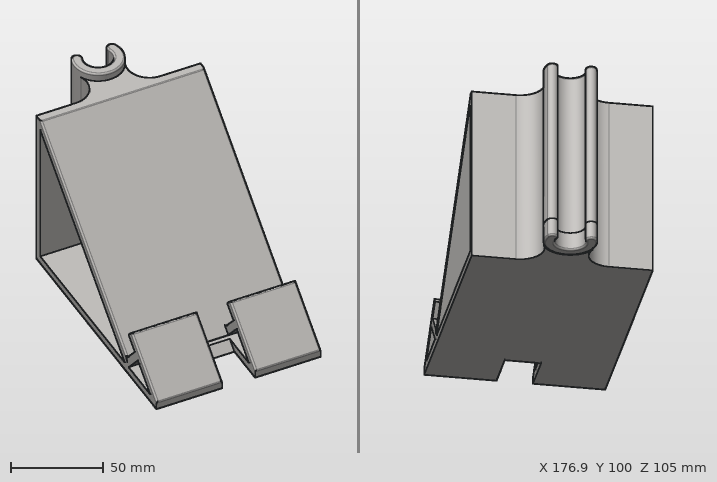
import cadquery as cq
import math

width = 100.0
frame_height = width
wall = 5.0
plate_x = 31.8
base_end_x = 176.9
ramp_foot_x = 152.0
ramp_angle = 41.0
edge_radius = 1.0

slot_width = 20.0
hook_length = 40.3
stem_toe_x = 143.3
root_fillet = 1.0

clip_height = 105.0
clip_outer_radius = 14.7
clip_inner_radius = 8.5
clip_sweep = 112.0
foot_height = 10.3
web_fillet_radius = 13.3

clip_mid_radius = (clip_outer_radius + clip_inner_radius) / 2
clip_tip_radius = (clip_outer_radius - clip_inner_radius) / 2
clip_x = clip_tip_radius - clip_mid_radius * math.cos(math.radians(clip_sweep))

cos_ramp = math.cos(math.radians(ramp_angle))
sin_ramp = math.sin(math.radians(ramp_angle))
tan_ramp = sin_ramp / cos_ramp
inner_foot_x = ramp_foot_x - wall / sin_ramp
plate_inner_x = plate_x + wall
slope_normal = cq.Vector(sin_ramp, 0, cos_ramp)


def along_slope(point, up=0.0, out=0.0):
    """Move an (x, z) point up the ramp direction and outwards along its normal."""
    x, z = point
    return (x - up * cos_ramp + out * sin_ramp, z + up * sin_ramp + out * cos_ramp)


def across_y(points, y_min, y_max):
    """Extrude an XZ outline from y_min to y_max."""
    profile = cq.Workplane("XZ", origin=(0, y_max, 0)).polyline(points).close()
    return profile.extrude(y_max - y_min)


def round_sloped_face(body):
    """Round the whole rim of the outward sloped face."""
    return body.faces(cq.selectors.DirectionNthSelector(slope_normal, -1)).edges().fillet(edge_radius)


base_corner = (base_end_x, wall)
hook_tip = along_slope(base_corner, up=hook_length)
hook_tip_inner = along_slope(hook_tip, out=-wall)
stem_toe = (stem_toe_x, wall)
toe_up = (base_end_x - stem_toe_x) * cos_ramp
stem_top = along_slope(base_corner, up=toe_up, out=-wall)
stem_inner_corner = along_slope(stem_top, up=wall)

root_height = (stem_top[0] - ramp_foot_x) * sin_ramp + stem_top[1] * cos_ramp
root = along_slope(stem_inner_corner, out=-root_height)
root_on_stem = along_slope(root, out=root_fillet)
root_on_ramp = along_slope(root, up=root_fillet)
root_inset = root_fillet * (1 - math.sqrt(0.5))
root_middle = along_slope(root, up=root_inset, out=root_inset)

opening_end = (base_end_x - wall / sin_ramp, wall)
stem_opening = [stem_toe, stem_top, opening_end]


def make_frame():
    """Hollow triangular tube of upright plate, base and ramp."""
    outer = [
        (plate_x, 0),
        (ramp_foot_x, 0),
        (ramp_foot_x - frame_height / tan_ramp, frame_height),
        (plate_x, frame_height),
    ]
    foot = [
        (inner_foot_x, 0),
        (ramp_foot_x, 0),
        along_slope((ramp_foot_x, 0), up=wall),
        along_slope((inner_foot_x, 0), up=wall),
    ]
    inner = [
        (plate_inner_x, wall),
        (inner_foot_x - wall / tan_ramp, wall),
        (plate_inner_x, (inner_foot_x - plate_inner_x) * tan_ramp),
    ]
    sharp_frame = across_y(outer, -width / 2, width / 2)
    foot_block = across_y(foot, -slot_width / 2, slot_width / 2)
    frame = round_sloped_face(sharp_frame).union(foot_block)
    return frame.cut(across_y(inner, -width / 2, width / 2))


def make_hook(y_min, y_max):
    """Sloped hook with its stem and its stretch of base."""
    outline = [
        (stem_toe_x, 0),
        (base_end_x, 0),
        base_corner,
        hook_tip,
        hook_tip_inner,
        stem_inner_corner,
        root_on_stem,
    ]
    profile = cq.Workplane("XZ", origin=(0, y_max, 0)).polyline(outline)
    profile = profile.threePointArc(root_middle, root_on_ramp).lineTo(*stem_toe).close()
    return round_sloped_face(profile.extrude(y_max - y_min))


def make_clip_section(z_min, z_max):
    """C-shaped length of clip, open towards -X, with rounded tips."""
    def polar(radius, angle):
        angle = math.radians(angle)
        return (clip_x + radius * math.cos(angle), radius * math.sin(angle))

    def tip_crown(side):
        x, y = polar(clip_mid_radius, side * clip_sweep)
        turn = math.radians(side * (clip_sweep + 90))
        return (x + clip_tip_radius * math.cos(turn), y + clip_tip_radius * math.sin(turn))

    return (
        cq.Workplane("XY", origin=(0, 0, z_min))
        .moveTo(*polar(clip_outer_radius, -clip_sweep))
        .threePointArc(polar(clip_outer_radius, 0), polar(clip_outer_radius, clip_sweep))
        .threePointArc(tip_crown(1), polar(clip_inner_radius, clip_sweep))
        .threePointArc(polar(clip_inner_radius, 0), polar(clip_inner_radius, -clip_sweep))
        .threePointArc(tip_crown(-1), polar(clip_outer_radius, -clip_sweep))
        .close()
        .extrude(z_max - z_min)
    )


def make_web():
    """Web whose flanks are arcs tangent to the clip and to the upright plate."""
    web_root_x = plate_x + wall / 2
    arc_x = plate_x - web_fillet_radius
    centre_distance = clip_outer_radius + web_fillet_radius
    arc_y = math.sqrt(centre_distance**2 - (arc_x - clip_x) ** 2)
    share = clip_outer_radius / centre_distance
    touch_x = clip_x + share * (arc_x - clip_x)
    touch_y = share * arc_y
    start = math.atan2(touch_y - arc_y, touch_x - arc_x)
    middle = start / 2
    mid_x = arc_x + web_fillet_radius * math.cos(middle)
    mid_y = arc_y + web_fillet_radius * math.sin(middle)
    return (
        cq.Workplane("XY")
        .moveTo(touch_x, touch_y)
        .threePointArc((mid_x, mid_y), (plate_x, arc_y))
        .lineTo(web_root_x, arc_y)
        .lineTo(web_root_x, -arc_y)
        .lineTo(plate_x, -arc_y)
        .threePointArc((mid_x, -mid_y), (touch_x, -touch_y))
        .threePointArc((clip_x + clip_outer_radius, 0), (touch_x, touch_y))
        .close()
        .extrude(frame_height)
    )


def make_bracket():
    """Frame, hooks, web and upper clip as one solid."""
    bracket = make_frame()
    for y_min, y_max in ((-width / 2, -slot_width / 2), (slot_width / 2, width / 2)):
        bracket = bracket.union(make_hook(y_min, y_max))
    bracket = bracket.cut(across_y(stem_opening, -width / 2, width / 2))
    upper_clip = make_clip_section(foot_height, clip_height).faces(">Z").edges().fillet(edge_radius)
    return bracket.union(make_web()).union(upper_clip)


def make_clip_foot():
    """Separate lower length of the clip, under the upper clip and against the web."""
    return make_clip_section(0, foot_height).faces("<Z").edges().fillet(edge_radius)


bracket = make_bracket()
clip_foot = make_clip_foot()

result = cq.Compound.makeCompound([bracket.val(), clip_foot.val()])